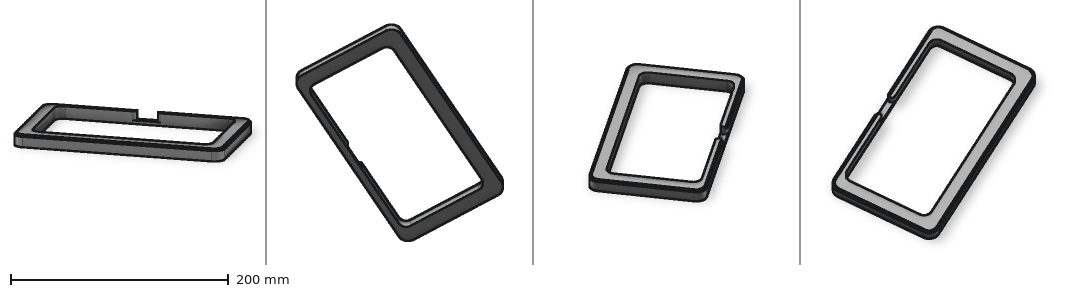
import cadquery as cq

length = 200.0
width = 110.0
height = 12.0
corner_radius = 10.0

step_inset = 2.0
step_height = 2.0

wall = 14.0
back_wall = 7.0
window_radius = 8.0

gap_width = 20.0
gap_floor = 3.5
end_radius = 3.0


def rounded_block(size_x, size_y, size_z, radius):
    """Block standing on Z = 0 with rounded vertical edges."""
    block = cq.Workplane("XY").box(size_x, size_y, size_z, centered=(True, True, False))
    return block.edges("|Z").fillet(radius)


def stepped_body():
    """Solid body with a narrower raised top."""
    base = rounded_block(length, width, height - step_height, corner_radius)
    raised = rounded_block(
        length - 2 * step_inset, width - 2 * step_inset, height, corner_radius - step_inset
    )
    return base.union(raised)


def window():
    """Through opening that leaves a thin back wall."""
    offset_y = (wall - back_wall) / 2
    opening = rounded_block(length - 2 * wall, width - wall - back_wall, height, window_radius)
    return opening.translate((0, offset_y, 0))


def back_gap():
    """Cutter for the gap, less the wall ends with their rounded corners."""
    cut_height = height - gap_floor
    cut_length = gap_width + 2 * end_radius
    gap = cq.Workplane("XY").box(cut_length, back_wall, cut_height, centered=(True, True, False))

    end_length = 4 * end_radius
    wall_end = rounded_block(end_length, back_wall, cut_height, end_radius)
    end_x = (gap_width + end_length) / 2
    for side in (-1, 1):
        gap = gap.cut(wall_end.translate((side * end_x, 0, 0)))
    return gap.translate((0, (width - back_wall) / 2, gap_floor))


result = stepped_body().cut(window()).cut(back_gap())